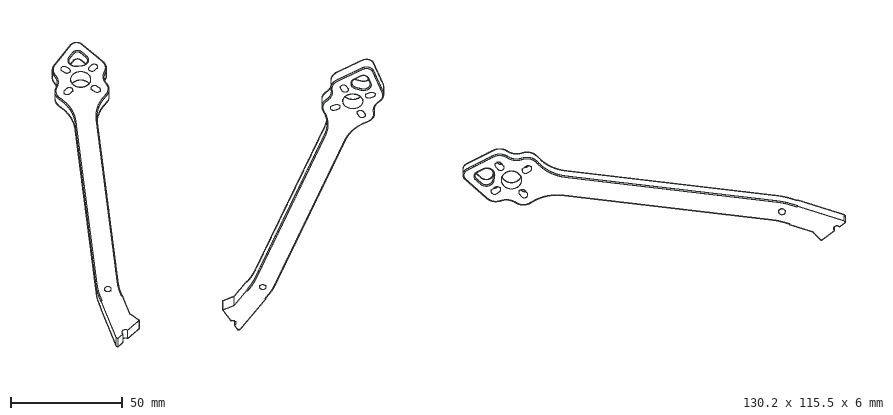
import cadquery as cq
import math


LENGTH_X = 130.2
LENGTH_Y = 115.5
THICKNESS = 6.0
CHAMFER = 0.5
ARM_ANGLE = -42.0
TAIL_ANGLE = -30.0
ARM_WIDTH = 10.0
SCREW_DIAMETER = 3.0

HUB_DIAMETER = 9.0
SLOT_PITCH_RADIUS = 8.7
SLOT_LENGTH = 4.5
SLOT_ANGLES = (45, 135, 225, 315)
EAR_RADIUS = 6.0
WAIST_RADIUS = 6.6
FLARE_RADIUS = 19.4
FLANK_ANGLE = 37.5
TIP_RADIUS = 3.4

WINDOW_WALL = 3.9
WINDOW_BACK = -8.2
WINDOW_TIP_RADIUS = 2.0
WINDOW_CORNER_RADIUS = 3.0

BEND_DISTANCE = 121.9
BEND_RADIUS = 31.3
BLANK_TAIL_LENGTH = 39.1
CHAMFER_STOP = 5.5
SHOULDER_Y = -85.4
SHOULDER_LENGTH = 7.8
NOTCH_Y = -94.7
TRIM = 26.0


def polar(center, radius, angle):
    """Point at a distance and an angle in degrees from a center."""
    a = math.radians(angle)
    return (center[0] + radius * math.cos(a), center[1] + radius * math.sin(a))


def mirrored(points):
    """The same points on the other side of the arm axis, in reverse order."""
    return [(x, -y) for x, y in reversed(points)]


half_width = ARM_WIDTH / 2

ear_offset = SLOT_PITCH_RADIUS * math.cos(math.radians(SLOT_ANGLES[0]))
front_ear = (-ear_offset, ear_offset)
rear_ear = (ear_offset, ear_offset)
waist_y = ear_offset + math.sqrt((EAR_RADIUS + WAIST_RADIUS) ** 2 - ear_offset**2)
flare_y = half_width + FLARE_RADIUS
flare_x = ear_offset + math.sqrt(
    (EAR_RADIUS + FLARE_RADIUS) ** 2 - (flare_y - ear_offset) ** 2
)

flank_normal = FLANK_ANGLE + 90
normal_x, normal_y = polar((0, 0), 1, flank_normal)
flank_distance = ear_offset * (normal_y - normal_x) + EAR_RADIUS
tip_center = ((flank_distance - TIP_RADIUS) / normal_x, 0)

waist_angle = math.degrees(math.atan2(waist_y - ear_offset, ear_offset))
flare_angle = math.degrees(math.atan2(flare_y - ear_offset, flare_x - ear_offset))

turned_tip = polar((0, 0), tip_center[0], ARM_ANGLE)
end_x = turned_tip[0] - TIP_RADIUS + LENGTH_X
bottom_y = turned_tip[1] + TIP_RADIUS - LENGTH_Y

turn = TAIL_ANGLE - ARM_ANGLE
bend_point = (BEND_DISTANCE, 0)


def head_points():
    """Tangent points from the tip to the start of the arm, on the +Y side."""
    return [
        polar(tip_center, TIP_RADIUS, flank_normal),
        polar(front_ear, EAR_RADIUS, flank_normal),
        polar(front_ear, EAR_RADIUS, waist_angle),
        polar(rear_ear, EAR_RADIUS, 180 - waist_angle),
        polar(rear_ear, EAR_RADIUS, flare_angle),
        (flare_x, half_width),
    ]


def bend_points(side):
    """Start and end of the rounded bend, and the tail end; side is 1 or -1."""
    half_turn = math.radians(turn / 2)
    corner_x = BEND_DISTANCE - side * half_width * math.tan(half_turn)
    corner = (corner_x, side * half_width)
    reach = BEND_RADIUS * math.tan(half_turn)
    return [
        polar(corner, -reach, 0),
        polar(corner, reach, turn),
        polar(corner, BLANK_TAIL_LENGTH, turn),
    ]


def make_blank():
    """Sharp-edged plate with an untrimmed tail."""
    left = head_points()
    right = mirrored(left)
    outline = cq.Workplane("XY").moveTo(*left[0]).lineTo(*left[1])
    for point in left[2:]:
        outline = outline.tangentArcPoint(point, relative=False)
    bend_start, bend_end, tail_end = bend_points(1)
    outline = outline.lineTo(*bend_start).tangentArcPoint(bend_end, relative=False)
    outline = outline.lineTo(*tail_end)
    bend_start, bend_end, tail_end = bend_points(-1)
    outline = outline.lineTo(*tail_end).lineTo(*bend_end)
    outline = outline.tangentArcPoint(bend_start, relative=False).lineTo(*right[0])
    for point in right[1:-1]:
        outline = outline.tangentArcPoint(point, relative=False)
    outline = outline.lineTo(*right[-1]).tangentArcPoint(left[0], relative=False).close()
    return outline.extrude(THICKNESS)


def make_window():
    """Rounded triangular cutter whose sides run parallel to the flanks."""
    side_distance = flank_distance - WINDOW_WALL
    tip = ((side_distance - WINDOW_TIP_RADIUS) / normal_x, 0)
    corner_x = WINDOW_BACK - WINDOW_CORNER_RADIUS
    corner = (corner_x, (side_distance - WINDOW_CORNER_RADIUS - corner_x * normal_x) / normal_y)
    left = [
        polar(tip, WINDOW_TIP_RADIUS, flank_normal),
        polar(corner, WINDOW_CORNER_RADIUS, flank_normal),
        polar(corner, WINDOW_CORNER_RADIUS, 0),
    ]
    right = mirrored(left)
    return (
        cq.Workplane("XY")
        .moveTo(*left[0])
        .lineTo(*left[1])
        .tangentArcPoint(left[2], relative=False)
        .lineTo(*right[0])
        .tangentArcPoint(right[1], relative=False)
        .lineTo(*right[2])
        .tangentArcPoint(left[0], relative=False)
        .close()
        .extrude(THICKNESS)
    )


def make_square_tail():
    """Tail strip with sharp edges, starting where the chamfer stops."""
    return (
        cq.Workplane("XY")
        .rect(BLANK_TAIL_LENGTH, ARM_WIDTH)
        .extrude(THICKNESS)
        .translate((CHAMFER_STOP + BLANK_TAIL_LENGTH / 2, 0, 0))
        .rotate((0, 0, 0), (0, 0, 1), turn)
        .translate((*bend_point, 0))
    )


def make_screw_cutter(x, y):
    """Cylinder for a screw hole at the given place."""
    return cq.Workplane("XY").center(x, y).circle(SCREW_DIAMETER / 2).extrude(THICKNESS)


def make_block(x_min, x_max, y_min, y_max):
    """Block of plate thickness between the given limits."""
    return (
        cq.Workplane("XY")
        .center((x_min + x_max) / 2, (y_min + y_max) / 2)
        .rect(x_max - x_min, y_max - y_min)
        .extrude(THICKNESS)
    )


plate = make_blank().cut(make_window())
plate = plate.faces("<Z or >Z").edges().chamfer(CHAMFER)
plate = plate.union(make_square_tail())

plate = plate.cut(cq.Workplane("XY").circle(HUB_DIAMETER / 2).extrude(THICKNESS))
for angle in SLOT_ANGLES:
    slot = (
        cq.Workplane("XY")
        .center(SLOT_PITCH_RADIUS, 0)
        .slot2D(SLOT_LENGTH, SCREW_DIAMETER)
        .extrude(THICKNESS)
        .rotate((0, 0, 0), (0, 0, 1), angle)
    )
    plate = plate.cut(slot)
plate = plate.cut(make_screw_cutter(*bend_point))

plate = plate.rotate((0, 0, 0), (0, 0, 1), ARM_ANGLE)
plate = plate.union(make_block(end_x - SHOULDER_LENGTH, end_x, NOTCH_Y, SHOULDER_Y))
plate = plate.cut(make_block(end_x, end_x + TRIM, bottom_y - TRIM, bottom_y + TRIM))
plate = plate.cut(make_block(end_x - TRIM, end_x, bottom_y - TRIM, bottom_y))
result = plate.cut(make_screw_cutter(end_x, NOTCH_Y))